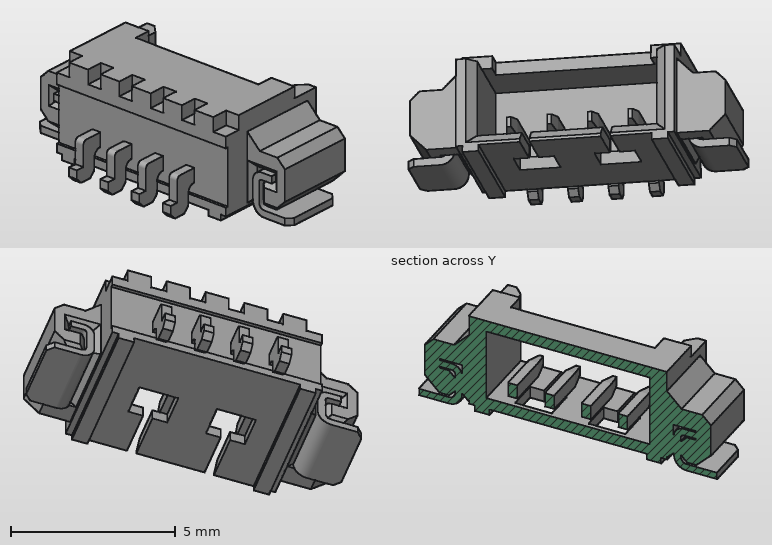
import cadquery as cq


PITCH = 1.25
PIN_COUNT = 4
NOTCH_WIDTH = 0.5
HOUSING_WIDTH = (PIN_COUNT + 1) * PITCH + NOTCH_WIDTH
HOUSING_DEPTH = 4.2
HOUSING_TOP = 3.4
STANDOFF = 0.2
RAIL_WIDTH = 0.5
RAIL_INSET = 0.2
MOUTH_STEP_DEPTH = 1.0
REAR_RELIEF = 0.1
REAR_RELIEF_BOTTOM = 0.5
REAR_RELIEF_TOP = 2.5
NOTCH_DEPTH = 0.6
NOTCH_HEIGHT = 0.5

CAVITY_WIDTH = 5.55
CAVITY_DEPTH = 3.2
CAVITY_FLOOR = 0.6
CAVITY_CEILING = 3.0
LEAD_IN = 0.3
ROOF_CUTOUT_WIDTH = 4.9
ROOF_CUTOUT_DEPTH = 1.6
FLOOR_SLOT_WIDTH = 0.3
FLOOR_WINDOW_START = 1.45
FLOOR_WINDOW_LENGTH = 1.0
FLOOR_WINDOW_WIDTH = PITCH

PIN_WIDTH = 0.32
PIN_TOP = 1.38
PIN_HEIGHT = 0.5
PIN_TIP_INSET = 0.7
PIN_TAPER = 0.52
PIN_TIP_WIDTH = 0.13
TAIL_REACH = 1.0
TAIL_LEG_INNER = 0.18
TAIL_LEG_OUTER = 0.7
TAIL_FOOT_TOP = 0.5
TAIL_CHAMFER = 0.2
TAIL_INNER_RADIUS = 0.25
TAIL_OUTER_RADIUS = 0.15

EAR_OUTER = 4.875
EAR_FRONT = 0.4
EAR_REAR = 3.2
EAR_TOP = 2.2
EAR_BOTTOM = 0.3
EAR_TOP_CHAMFER = 0.3
EAR_BOTTOM_CHAMFER = 0.5
EAR_GUSSET = 0.5

NAIL_THICKNESS = 0.25
NAIL_FRONT = 1.0
NAIL_INNER = 3.6
NAIL_ARM_END = 4.35
NAIL_TAB_END = 5.075
NAIL_TOP = 1.5
NAIL_UPPER_RADIUS = 0.35
NAIL_LOWER_RADIUS = 0.45
NAIL_TAB_CHAMFER = 0.2
NAIL_SLOT_FLARE = 0.2
NAIL_SLOT_CLEARANCE = 0.03
NAIL_SLOT_RELIEF = 0.2

HALF_WIDTH = HOUSING_WIDTH / 2
PIN_XS = [(i - (PIN_COUNT - 1) / 2) * PITCH for i in range(PIN_COUNT)]


def block(x_range, y_range, z_range):
    """Box given by its limits along each axis."""
    (x0, x1), (y0, y1), (z0, z1) = x_range, y_range, z_range
    return cq.Workplane("XY").box(x1 - x0, y1 - y0, z1 - z0, centered=False).translate((x0, y0, z0))


def plate(points, front, rear):
    """Prism of an XZ outline between two distances behind the mating face."""
    return cq.Workplane("XZ", origin=(0, -front, 0)).polyline(points).close().extrude(rear - front)


def housing_shell():
    rear = -HOUSING_DEPTH
    relief_face = rear + REAR_RELIEF
    side_outline = [
        (0, STANDOFF),
        (0, CAVITY_CEILING),
        (-MOUTH_STEP_DEPTH, CAVITY_CEILING),
        (-MOUTH_STEP_DEPTH, HOUSING_TOP),
        (rear, HOUSING_TOP),
        (rear, REAR_RELIEF_TOP),
        (relief_face, REAR_RELIEF_TOP),
        (relief_face, REAR_RELIEF_BOTTOM),
        (rear, REAR_RELIEF_BOTTOM),
        (rear, STANDOFF),
    ]
    shell = cq.Workplane("YZ").polyline(side_outline).close().extrude(HALF_WIDTH, both=True)
    rail_outer = HALF_WIDTH - RAIL_INSET
    rail = block((rail_outer - RAIL_WIDTH, rail_outer), (rear, 0), (0, STANDOFF))
    return shell.union(rail).union(rail.mirror("YZ"))


def cut_rear_notches(body):
    """Notches along the rear top edge: one over each pin and one at each corner."""
    for i in range(PIN_COUNT + 2):
        x = (i - (PIN_COUNT + 1) / 2) * PITCH
        body = body.cut(block(
            (x - NOTCH_WIDTH / 2, x + NOTCH_WIDTH / 2),
            (-HOUSING_DEPTH, NOTCH_DEPTH - HOUSING_DEPTH),
            (HOUSING_TOP - NOTCH_HEIGHT, HOUSING_TOP),
        ))
    return body


def cut_cavity(body):
    half_cavity = CAVITY_WIDTH / 2
    body = body.cut(block(
        (-half_cavity, half_cavity), (-CAVITY_DEPTH, 0), (CAVITY_FLOOR, CAVITY_CEILING)
    ))
    half_mouth = half_cavity + LEAD_IN
    mouth_bottom = CAVITY_FLOOR - LEAD_IN
    lead_in = (
        cq.Workplane("XZ")
        .polyline([
            (-half_mouth, mouth_bottom),
            (half_mouth, mouth_bottom),
            (half_mouth, HOUSING_TOP),
            (-half_mouth, HOUSING_TOP),
        ])
        .close()
        .extrude(LEAD_IN, taper=45)
    )
    half_cutout = ROOF_CUTOUT_WIDTH / 2
    roof_cutout = block(
        (-half_cutout, half_cutout), (-ROOF_CUTOUT_DEPTH, 0), (CAVITY_CEILING, HOUSING_TOP)
    )
    return body.cut(lead_in).cut(roof_cutout)


def cut_floor_openings(body):
    """Two T-shaped floor openings: a slot from the mating face into a wider window."""
    half_slot = FLOOR_SLOT_WIDTH / 2
    half_window = FLOOR_WINDOW_WIDTH / 2
    window_end = FLOOR_WINDOW_START + FLOOR_WINDOW_LENGTH
    floor = (0, CAVITY_FLOOR)
    for x in (-PITCH, PITCH):
        slot = block((x - half_slot, x + half_slot), (-FLOOR_WINDOW_START, 0), floor)
        window = block(
            (x - half_window, x + half_window), (-window_end, -FLOOR_WINDOW_START), floor
        )
        body = body.cut(slot).cut(window)
    return body


def pin():
    """Contact on the middle plane: tapered tip, straight shank and bent tail."""
    rear = -HOUSING_DEPTH
    taper_start = -PIN_TIP_INSET - PIN_TAPER
    underside = PIN_TOP - PIN_HEIGHT
    leg_inner = rear - TAIL_LEG_INNER
    leg_outer = rear - TAIL_LEG_OUTER
    tail_end = rear - TAIL_REACH
    shank = (
        cq.Workplane("YZ")
        .moveTo(taper_start, PIN_TOP)
        .lineTo(leg_outer + TAIL_OUTER_RADIUS, PIN_TOP)
        .radiusArc((leg_outer, PIN_TOP - TAIL_OUTER_RADIUS), -TAIL_OUTER_RADIUS)
        .lineTo(leg_outer, TAIL_FOOT_TOP)
        .lineTo(tail_end, TAIL_FOOT_TOP)
        .lineTo(tail_end, TAIL_CHAMFER)
        .lineTo(tail_end + TAIL_CHAMFER, 0)
        .lineTo(leg_inner - TAIL_CHAMFER, 0)
        .lineTo(leg_inner, TAIL_CHAMFER)
        .lineTo(leg_inner, underside - TAIL_INNER_RADIUS)
        .radiusArc((leg_inner + TAIL_INNER_RADIUS, underside), TAIL_INNER_RADIUS)
        .lineTo(taper_start, underside)
        .close()
        .extrude(PIN_WIDTH / 2, both=True)
    )
    tip_height = PIN_HEIGHT - (PIN_WIDTH - PIN_TIP_WIDTH)
    tip = (
        cq.Workplane("XZ", origin=(0, -PIN_TIP_INSET, PIN_TOP - PIN_HEIGHT / 2))
        .rect(PIN_TIP_WIDTH, tip_height)
        .workplane(offset=PIN_TAPER)
        .rect(PIN_WIDTH, PIN_HEIGHT)
        .loft()
    )
    return shank.union(tip)


def nail_slot():
    """Hook-shaped slot for the nail, open below, flared at the rear of the ear."""
    leg_outer = NAIL_INNER + NAIL_THICKNESS
    slot_top = NAIL_TOP + NAIL_SLOT_CLEARANCE
    slot_ledge = NAIL_TOP - NAIL_THICKNESS - NAIL_SLOT_CLEARANCE

    def hook(growth):
        return [
            (NAIL_INNER - growth, 0),
            (NAIL_INNER - growth, slot_top + growth),
            (NAIL_ARM_END + growth, slot_top + growth),
            (NAIL_ARM_END + growth, slot_ledge - growth),
            (leg_outer + growth, slot_ledge - growth),
            (leg_outer + growth, 0),
        ]

    slot = plate(hook(0), NAIL_FRONT, EAR_REAR)
    flare_start = EAR_REAR - NAIL_SLOT_FLARE
    flare = (
        cq.Workplane("XZ", origin=(0, -flare_start, 0))
        .polyline(hook(0))
        .close()
        .workplane(offset=NAIL_SLOT_FLARE)
        .polyline(hook(NAIL_SLOT_FLARE))
        .close()
        .loft(ruled=True)
    )
    slot = slot.union(flare)

    relieved_corners = [
        (leg_outer, slot_ledge, 1, -1),
        (leg_outer, EAR_BOTTOM, 1, 1),
        (NAIL_INNER, EAR_BOTTOM, -1, 1),
    ]
    for x, z, x_sign, z_sign in relieved_corners:
        corner = [
            (x, z),
            (x + x_sign * NAIL_SLOT_RELIEF, z),
            (x, z + z_sign * NAIL_SLOT_RELIEF),
        ]
        slot = slot.union(plate(corner, NAIL_FRONT, EAR_REAR))
    return slot


def ear():
    """Ear on the +X side; the lower rear edge outside the nail slot is bevelled."""
    bevel_start = NAIL_INNER + NAIL_THICKNESS
    outline = [
        (HALF_WIDTH, EAR_BOTTOM),
        (HALF_WIDTH, EAR_TOP + EAR_GUSSET),
        (HALF_WIDTH + EAR_GUSSET, EAR_TOP),
        (EAR_OUTER - EAR_TOP_CHAMFER, EAR_TOP),
        (EAR_OUTER, EAR_TOP - EAR_TOP_CHAMFER),
        (EAR_OUTER, EAR_BOTTOM + EAR_BOTTOM_CHAMFER),
        (EAR_OUTER - EAR_BOTTOM_CHAMFER, EAR_BOTTOM),
    ]
    bevel = (
        cq.Workplane("YZ", origin=(bevel_start, 0, 0))
        .polyline([
            (-EAR_REAR, EAR_BOTTOM),
            (-EAR_REAR + NAIL_SLOT_FLARE, EAR_BOTTOM),
            (-EAR_REAR, EAR_BOTTOM + NAIL_SLOT_FLARE),
        ])
        .close()
        .extrude(EAR_OUTER - bevel_start)
    )
    return plate(outline, EAR_FRONT, EAR_REAR).cut(bevel).cut(nail_slot())


def nail():
    """Solder nail on the +X side: upper arm, upright leg and board tab."""
    leg_outer = NAIL_INNER + NAIL_THICKNESS
    upper_bend_end = NAIL_INNER + NAIL_UPPER_RADIUS
    lower_bend_end = NAIL_INNER + NAIL_LOWER_RADIUS
    arm_bottom = NAIL_TOP - NAIL_THICKNESS
    strip = (
        cq.Workplane("XZ", origin=(0, -NAIL_FRONT, 0))
        .moveTo(NAIL_ARM_END, NAIL_TOP)
        .lineTo(upper_bend_end, NAIL_TOP)
        .radiusArc((NAIL_INNER, NAIL_TOP - NAIL_UPPER_RADIUS), -NAIL_UPPER_RADIUS)
        .lineTo(NAIL_INNER, NAIL_LOWER_RADIUS)
        .radiusArc((lower_bend_end, 0), -NAIL_LOWER_RADIUS)
        .lineTo(NAIL_TAB_END, 0)
        .lineTo(NAIL_TAB_END, NAIL_THICKNESS)
        .lineTo(lower_bend_end, NAIL_THICKNESS)
        .radiusArc((leg_outer, NAIL_LOWER_RADIUS), NAIL_LOWER_RADIUS - NAIL_THICKNESS)
        .lineTo(leg_outer, NAIL_TOP - NAIL_UPPER_RADIUS)
        .radiusArc((upper_bend_end, arm_bottom), NAIL_UPPER_RADIUS - NAIL_THICKNESS)
        .lineTo(NAIL_ARM_END, arm_bottom)
        .close()
        .extrude(EAR_REAR - NAIL_FRONT)
    )
    return strip.faces(">X").edges("|Z").chamfer(NAIL_TAB_CHAMFER)


housing = cut_floor_openings(cut_cavity(cut_rear_notches(housing_shell())))

side_assembly = ear().union(nail())
result = housing.union(side_assembly).union(side_assembly.mirror("YZ"))

contact = pin()
for pin_x in PIN_XS:
    result = result.union(contact.translate((pin_x, 0, 0)))